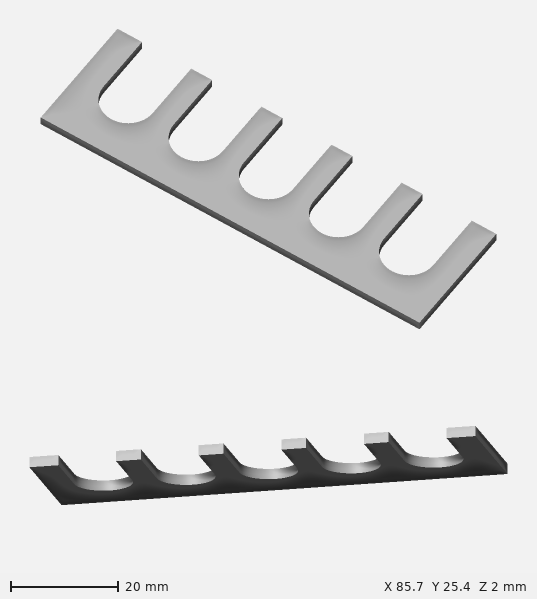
import cadquery as cq

inch = 25.4

plate_width = 1.0 * inch
plate_thickness = 2.0

slot_count = 5
slot_pitch = 5 / 8 * inch
slot_width = 7 / 16 * inch
slot_straight_depth = 0.5 * inch
end_margin = 1 / 8 * inch

plate_length = slot_count * slot_pitch + 2 * end_margin
slot_radius = slot_width / 2
open_edge_y = plate_width / 2
slot_center_y = open_edge_y - slot_straight_depth


def make_plate():
    """Flat bar centered on X and Y, resting on Z = 0."""
    return cq.Workplane("XY").box(
        plate_length, plate_width, plate_thickness, centered=(True, True, False)
    )


def make_slot(center_x):
    """U-shaped cutter through the full thickness, open at the +Y edge."""
    left_x = center_x - slot_radius
    right_x = center_x + slot_radius
    return (
        cq.Workplane("XY")
        .moveTo(left_x, open_edge_y)
        .lineTo(left_x, slot_center_y)
        .threePointArc((center_x, slot_center_y - slot_radius), (right_x, slot_center_y))
        .lineTo(right_x, open_edge_y)
        .close()
        .extrude(plate_thickness)
    )


result = make_plate()
for index in range(slot_count):
    slot_x = (index - (slot_count - 1) / 2) * slot_pitch
    result = result.cut(make_slot(slot_x))